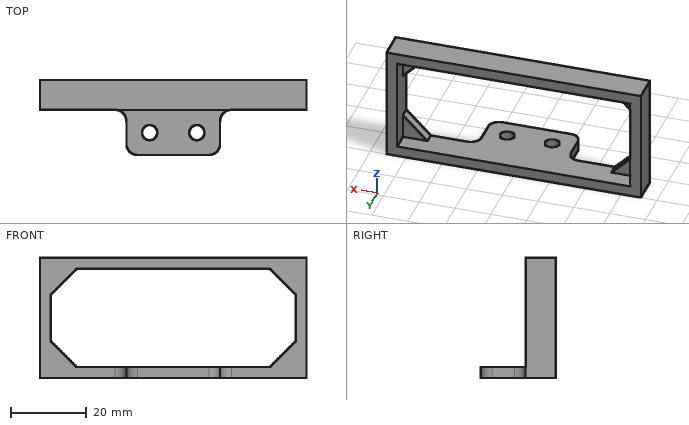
import cadquery as cq

frame_length = 71.0
frame_depth = 8.0
frame_height = 32.0
wall = 3.0

gusset_leg = 6.8
gusset_thickness = 3.0

tab_width = 25.0
tab_reach = 12.0
tab_thickness = wall
tab_radius = 3.0
hole_diameter = 4.0
hole_spacing = 12.6
hole_offset = 6.0

window_length = frame_length - 2 * wall
window_height = frame_height - 2 * wall


def make_frame():
    """Rectangular frame with its front face on Y = 0 and its base on Z = 0."""
    block = cq.Workplane("XY").box(
        frame_length, frame_depth, frame_height, centered=(True, False, False)
    )
    window = (
        cq.Workplane("XY")
        .box(window_length, frame_depth, window_height, centered=(True, False, False))
        .translate((0, 0, wall))
    )
    return block.cut(window)


def make_gusset(x_side, z_side):
    """Triangular plate in one window corner; each side is -1 or 1."""
    corner_x = x_side * window_length / 2
    corner_z = frame_height / 2 + z_side * window_height / 2
    return (
        cq.Workplane("XZ")
        .moveTo(corner_x, corner_z)
        .lineTo(corner_x - x_side * gusset_leg, corner_z)
        .lineTo(corner_x, corner_z - z_side * gusset_leg)
        .close()
        .extrude(-gusset_thickness)
    )


def make_tab():
    """Tab with rounded outer corners, flared roots and two screw holes."""
    half_width = tab_width / 2
    root_half_width = half_width + tab_radius
    corner_half_width = half_width - tab_radius
    plate = (
        cq.Workplane("XY")
        .moveTo(-root_half_width, 0)
        .radiusArc((-half_width, -tab_radius), tab_radius)
        .lineTo(-half_width, -tab_reach + tab_radius)
        .radiusArc((-corner_half_width, -tab_reach), -tab_radius)
        .lineTo(corner_half_width, -tab_reach)
        .radiusArc((half_width, -tab_reach + tab_radius), -tab_radius)
        .lineTo(half_width, -tab_radius)
        .radiusArc((root_half_width, 0), tab_radius)
        .close()
        .extrude(tab_thickness)
    )
    holes = (
        cq.Workplane("XY")
        .pushPoints([(side * hole_spacing / 2, -hole_offset) for side in (-1, 1)])
        .circle(hole_diameter / 2)
        .extrude(tab_thickness)
    )
    return plate.cut(holes)


result = make_frame().union(make_tab())
for x_side in (-1, 1):
    for z_side in (-1, 1):
        result = result.union(make_gusset(x_side, z_side))